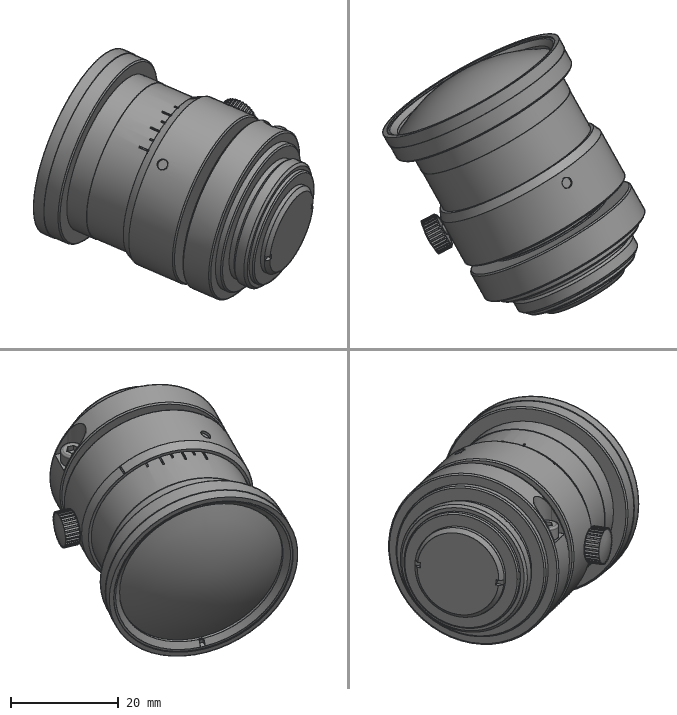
import cadquery as cq
import math

length = 47.3
front_face_x = 2.75
hood_step_x = 4.95
hood_back_x = 8.25
collar_end_x = 12.45
ring_front_x = 20.55
ring_shoulder_x = 22.17
ring_back_x = 31.75
neck_end_x = 32.55
neck_step_x = 33.3
clamp_front_x = 33.55
clamp_back_x = 39.53
seat_back_x = 40.9
thread_front_x = 41.95
thread_back_x = 44.77
lip_back_x = 45.7

hood_r = 37.3 / 2
hood_back_r = 18.55
collar_r = 15.75
scale_r = 31.3 / 2
ring_r = 16.95
ring_front_r = 16.2
neck_r = 11.1
neck_mid_r = 23.0 / 2
neck_step_r = 12.0
seat_r = 14.95
groove_r = 12.2
thread_r = 12.65
lip_r = 23.0 / 2
end_r = 17.8 / 2

edge_chamfer = 0.3
thread_chamfer = 0.45
end_chamfer = 0.75

dome_sphere_r = 31.4
lens_r = 16.15
recess_r = 17.75
recess_depth = 0.3
cone_r = 17.3
cone_end_x = 3.92
key_width = 0.95
key_inner_r = 16.25
key_depth = 1.2

screw_x = 24.55
screw_hole_d = 2.05
screw_hole_depth = 0.45
stem_d = 2.0
knob_d = 6.95
knob_bottom_y = 17.45
knob_rim_y = 20.45
overall_y = 39.55
knob_top_y = overall_y - hood_r
knob_chamfer = 0.35
knurl_count = 30
knurl_d = 0.43

cap_x = 36.55
cap_y = 13.47
cap_head_d = 4.5
cap_head_height = 2.5
cap_edge_radius = 0.43
hex_width = 2.0
hex_depth = 1.1
pocket_width = 4.95
pocket_floor_z = 5.45

relief_floor_x = 35.95
relief_d = 4.65
relief_center_r = 13.15
relief_angle = 36.0

mark_width = 0.3
mark_depth = 0.15
short_mark = 1.0
long_mark = 2.1
first_mark_angle = 18.0
second_mark_angle = 7.7
mark_pitch_angle = 8.1
even_count = 5
index_angle = 33.8
rear_slot_width = 1.0
rear_slot_inner_r = 7.55
rear_slot_angle = 4.6


def disc(x0, x1, radius):
    """Plain cylinder about the X axis between two stations."""
    return cq.Workplane("YZ", origin=(x0, 0, 0)).circle(radius).extrude(x1 - x0)


def radial_block(x0, x1, r0, r1, width, angle):
    """Box lying along a radius, turned from +Z towards +Y by the angle."""
    size = (x1 - x0, width, r1 - r0)
    center = ((x0 + x1) / 2, 0, (r0 + r1) / 2)
    block = cq.Workplane("XY").box(*size).translate(center)
    return block.rotate((0, 0, 0), (1, 0, 0), -angle)


def make_front():
    """Hood with the recessed cone, and the domed front lens inside it."""
    front = disc(front_face_x, hood_step_x, hood_r)
    hood_back = disc(hood_step_x, hood_back_x, hood_back_r)
    front = front.union(hood_back.faces(">X").chamfer(edge_chamfer))

    lens_edge_x = dome_sphere_r - math.sqrt(dome_sphere_r**2 - lens_r**2)
    cone_x = front_face_x + recess_depth
    recess = (
        cq.Workplane("XY")
        .moveTo(front_face_x, 0)
        .lineTo(front_face_x, recess_r)
        .lineTo(cone_x, recess_r)
        .lineTo(cone_x, cone_r)
        .lineTo(cone_end_x, lens_r)
        .lineTo(lens_edge_x, lens_r)
        .lineTo(lens_edge_x, 0)
        .close()
        .revolve(360, (0, 0, 0), (1, 0, 0))
    )
    front = front.cut(recess)
    for angle in (0, 180):
        front = front.cut(
            radial_block(cone_x, cone_x + key_depth, key_inner_r, cone_r, key_width, angle)
        )

    half_r = lens_r / 2
    half_x = dome_sphere_r - math.sqrt(dome_sphere_r**2 - half_r**2)
    lens = (
        cq.Workplane("XY")
        .threePointArc((half_x, half_r), (lens_edge_x, lens_r))
        .lineTo(hood_step_x, lens_r)
        .lineTo(hood_step_x, 0)
        .close()
        .revolve(360, (0, 0, 0), (1, 0, 0))
    )
    return front.union(lens)


def make_barrel():
    """Collar, scale barrel and aperture ring."""
    barrel = disc(hood_back_x, collar_end_x, collar_r)
    barrel = barrel.union(disc(collar_end_x, ring_front_x, scale_r))
    ring = disc(ring_front_x, ring_back_x, ring_r)
    ring = ring.faces(">X").chamfer(edge_chamfer)
    ring = ring.faces("<X").chamfer(ring_shoulder_x - ring_front_x, ring_r - ring_front_r)
    return barrel.union(ring)


def make_mount():
    """Stepped neck, clamp ring with a front relief, and threaded rear mount."""
    mount = disc(ring_back_x, neck_end_x, neck_r)
    neck_mid = disc(neck_end_x, neck_step_x, neck_mid_r)
    mount = mount.union(neck_mid.faces("<X").chamfer(neck_mid_r - neck_r))

    clamp = disc(clamp_front_x, clamp_back_x, ring_r).faces("<X or >X").chamfer(edge_chamfer)
    relief = disc(clamp_front_x, relief_floor_x, relief_d / 2).translate((0, -relief_center_r, 0))
    clamp = clamp.cut(relief.rotate((0, 0, 0), (1, 0, 0), -relief_angle))
    mount = mount.union(clamp).union(disc(neck_step_x, relief_floor_x, neck_step_r))

    seat = disc(clamp_back_x, seat_back_x, seat_r).faces(">X").chamfer(edge_chamfer)
    mount = mount.union(seat)
    mount = mount.union(disc(seat_back_x, thread_front_x, groove_r))
    thread = disc(thread_front_x, thread_back_x, thread_r)
    mount = mount.union(thread.faces("<X or >X").chamfer(thread_chamfer))
    lip = disc(thread_back_x, lip_back_x, lip_r).faces(">X").chamfer(edge_chamfer)
    mount = mount.union(lip)
    end = disc(lip_back_x, length, end_r).faces(">X").chamfer(end_chamfer)
    return mount.union(end)


def make_knob():
    """Knurled thumb screw standing on the +Y side of the aperture ring."""
    half = knob_d / 2
    dome_r = half - knob_chamfer
    dome_rise = knob_top_y - knob_rim_y
    sphere_r = (dome_r**2 + dome_rise**2) / (2 * dome_rise)
    arc_x = dome_r / 2
    arc_y = knob_top_y - sphere_r + math.sqrt(sphere_r**2 - arc_x**2)
    knob = (
        cq.Workplane("XY")
        .moveTo(0, knob_bottom_y)
        .lineTo(half - knob_chamfer, knob_bottom_y)
        .lineTo(half, knob_bottom_y + knob_chamfer)
        .lineTo(half, knob_rim_y)
        .lineTo(dome_r, knob_rim_y)
        .threePointArc((arc_x, arc_y), (0, knob_top_y))
        .close()
        .revolve(360, (0, 0, 0), (0, 1, 0))
    )
    knurls = (
        cq.Workplane("XZ", origin=(0, knob_bottom_y, 0))
        .polarArray(half, 0, 360, knurl_count)
        .circle(knurl_d / 2)
        .extrude(knob_bottom_y - knob_top_y)
    )
    stem = (
        cq.Workplane("XZ", origin=(0, ring_front_r, 0))
        .circle(stem_d / 2)
        .extrude(ring_front_r - knob_rim_y)
    )
    return knob.cut(knurls).union(stem).translate((screw_x, 0, 0))


def make_screw_holes():
    """Two shallow set screw holes, each a third of a turn from the thumb screw."""
    hole = (
        cq.Workplane("XZ", origin=(screw_x, ring_r - screw_hole_depth, 0))
        .circle(screw_hole_d / 2)
        .extrude(-2 * screw_hole_depth)
    )
    axis = (0, 0, 0), (1, 0, 0)
    return hole.rotate(*axis, 120).union(hole.rotate(*axis, -120))


def make_cap_pocket():
    """Round-ended pocket with a flat floor, open towards +Y."""
    floor = cq.Workplane("XY", origin=(cap_x, cap_y, pocket_floor_z))
    pocket = floor.circle(pocket_width / 2).extrude(ring_r)
    run_out = floor.center(0, ring_r / 2).rect(pocket_width, ring_r).extrude(ring_r)
    return pocket.union(run_out)


def make_cap_screw():
    """Socket head with a rounded rim and a hexagonal socket."""
    head = (
        cq.Workplane("XY", origin=(cap_x, cap_y, pocket_floor_z))
        .circle(cap_head_d / 2)
        .extrude(cap_head_height)
        .faces(">Z")
        .edges()
        .fillet(cap_edge_radius)
    )
    hex_corner_d = hex_width / math.cos(math.pi / 6)
    socket = (
        cq.Workplane("XY")
        .polygon(6, hex_corner_d)
        .extrude(hex_depth)
        .rotate((0, 0, 0), (0, 0, 1), 30)
        .translate((cap_x, cap_y, pocket_floor_z + cap_head_height - hex_depth))
    )
    return head.cut(socket)


def make_marks():
    """Alternating short and long aperture graduations, and the index on the bevel."""
    even_angles = [second_mark_angle - step * mark_pitch_angle for step in range(even_count)]
    angles = [first_mark_angle] + even_angles
    marks = cq.Workplane("XY")
    for number, angle in enumerate(angles):
        mark_length = long_mark if number % 2 else short_mark
        marks = marks.add(
            radial_block(
                ring_front_x - mark_length, ring_front_x,
                scale_r - mark_depth, scale_r + mark_depth, mark_width, angle,
            )
        )
    bevel_run = ring_shoulder_x - ring_front_x
    bevel_rise = ring_r - ring_front_r
    bevel_angle = math.degrees(math.atan2(bevel_rise, bevel_run))
    index_length = math.hypot(bevel_run, bevel_rise) - mark_depth
    bevel_mark = (
        cq.Workplane("XY")
        .box(index_length, mark_width, 2 * mark_depth)
        .rotate((0, 0, 0), (0, 1, 0), -bevel_angle)
        .translate(((ring_front_x + ring_shoulder_x) / 2, 0, (ring_r + ring_front_r) / 2))
        .rotate((0, 0, 0), (1, 0, 0), -index_angle)
    )
    return marks.add(bevel_mark).combine()


def make_rear_slots():
    """Two opposed key slots in the rear rim."""
    slots = cq.Workplane("XY")
    for side in (90, 270):
        slots = slots.add(
            radial_block(
                length - end_chamfer, length, rear_slot_inner_r, end_r,
                rear_slot_width, side + rear_slot_angle,
            )
        )
    return slots.combine()


body = make_front().union(make_barrel()).union(make_mount())
body = body.cut(make_screw_holes()).cut(make_marks()).cut(make_rear_slots())
body = body.cut(make_cap_pocket()).union(make_cap_screw())
result = body.union(make_knob())